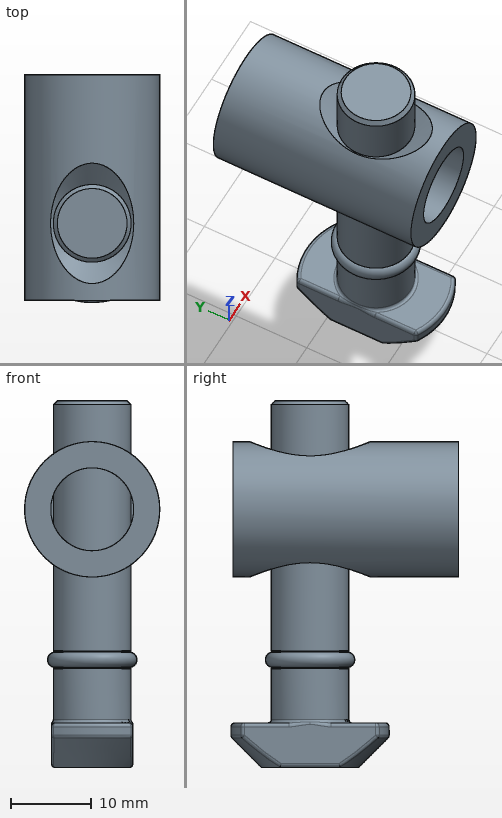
import cadquery as cq
import math


sleeve_radius = 8.395
sleeve_length = 28.0
sleeve_front_y = -9.55
bore_radius = 5.15
flare_radius = 7.45
flare_start_z = 6.35

shank_radius = 4.82
shank_top_z = 13.45
tip_chamfer = 0.5
root_fillet = 0.4

head_radius = 9.85
head_half_width = 5.05
head_top_z = -26.5
head_rim_height = 1.75
head_bottom_z = shank_top_z - 45.5
head_bottom_radius = 6.0
head_edge_fillet = 0.5

ring_z = -18.65
ring_outer_radius = 5.55
ring_section_radius = 0.95
groove_width = 2.2
ring_mean_radius = ring_outer_radius - ring_section_radius
groove_radius = ring_mean_radius - ring_section_radius


def make_flare():
    """Cone that widens the upper mouth of the cross hole."""
    profile = [
        (0, flare_start_z),
        (shank_radius, flare_start_z),
        (flare_radius, sleeve_radius),
        (0, sleeve_radius),
    ]
    return cq.Workplane("XZ").polyline(profile).close().revolve(360, (0, 0), (0, 1))


def make_sleeve():
    """Tube with a bore along Y and a flared cross hole along Z that fits the shank."""
    start = cq.Workplane("XZ", origin=(0, sleeve_front_y, 0))
    sleeve = start.circle(sleeve_radius).circle(bore_radius).extrude(-sleeve_length)
    cross_hole = cq.Workplane("XY").circle(shank_radius).extrude(sleeve_radius, both=True)
    flare = make_flare()
    return sleeve.cut(cross_hole).cut(flare).cut(flare.mirror("XY"))


def make_plug():
    """Plain pin that fills the bore from the back of the shank to the end of the sleeve."""
    length = sleeve_front_y + sleeve_length - shank_radius
    return cq.Workplane("XZ", origin=(0, shank_radius, 0)).circle(bore_radius).extrude(-length)


def make_head():
    """T-head: a rimmed cone with two flat sides, and the concave root of the shank."""
    rim_bottom_z = head_top_z - head_rim_height
    root_radius = shank_radius + root_fillet
    root_top_z = head_top_z + root_fillet
    arc_offset = root_fillet * math.sqrt(0.5)
    turned = (
        cq.Workplane("XZ")
        .moveTo(0, head_bottom_z)
        .lineTo(head_bottom_radius, head_bottom_z)
        .lineTo(head_radius, rim_bottom_z)
        .lineTo(head_radius, head_top_z)
        .lineTo(root_radius, head_top_z)
        .threePointArc((root_radius - arc_offset, root_top_z - arc_offset), (shank_radius, root_top_z))
        .lineTo(0, root_top_z)
        .close()
        .revolve(360, (0, 0), (0, 1))
    )
    slab = cq.Workplane("XY").box(2 * head_half_width, 2 * head_radius, 2 * abs(head_bottom_z))
    head = turned.intersect(slab)
    side_edges = head.faces("<X or >X").edges()
    rim_edges = head.edges(cq.selectors.RadiusNthSelector(-1))
    return side_edges.add(rim_edges).fillet(head_edge_fillet)


def make_bolt():
    """Shank with a chamfered tip and an O-ring groove, on the T-head."""
    shank = (
        cq.Workplane("XY", origin=(0, 0, head_top_z))
        .circle(shank_radius)
        .extrude(shank_top_z - head_top_z)
        .faces(">Z")
        .chamfer(tip_chamfer)
    )
    groove = (
        cq.Workplane("XY", origin=(0, 0, ring_z - groove_width / 2))
        .circle(sleeve_radius)
        .circle(groove_radius)
        .extrude(groove_width)
    )
    return shank.cut(groove).union(make_head())


def make_o_ring():
    """Torus seated on the floor of the groove."""
    section = cq.Workplane("XZ").center(ring_mean_radius, ring_z).circle(ring_section_radius)
    return section.revolve(360, (-ring_mean_radius, 0), (-ring_mean_radius, 1))


sleeve = make_sleeve()
plug = make_plug()
bolt = make_bolt()
o_ring = make_o_ring()

result = cq.Compound.makeCompound([sleeve.val(), plug.val(), bolt.val(), o_ring.val()])